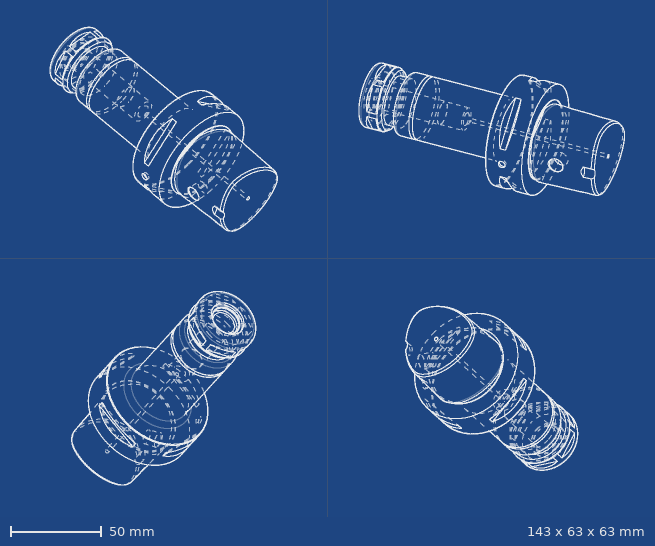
import cadquery as cq
import math

total_length = 143.0
nut_length = 13.94
body_start = 20.7
flange_start = 83.0
flange_end = 105.0
shank_start = 107.1

nut_radius = 18.3
nut_front_fillet = 2.0
nut_rear_chamfer_length = 2.1
nut_rear_chamfer_depth = 1.3
nut_mouth_diameter = 20.0
nut_mouth_depth = 1.9
nut_throat_diameter = 16.3
nut_throat_entry_diameter = 17.0
nut_throat_entry_length = 0.6
nut_lip_thickness = 4.7
flat_count = 6
flat_distance = 16.6
flat_floor_start = 5.6
flat_floor_end = 11.0
flat_front_run = 1.0
flat_rear_run = 0.3

neck_diameter = 28.0
body_diameter = 36.0
body_front_fillet = 2.1
ring_groove_start = 30.7
ring_groove_width = 2.1
ring_groove_depth = 0.07
flange_diameter = 63.0
flange_chamfer = 0.5
flange_root_fillet = 3.0

gripper_groove_count = 4
gripper_groove_centre = 93.0
gripper_groove_floor_width = 3.3
gripper_groove_floor_distance = 27.9
gripper_groove_wall_angle = 30.0
dimple_diameter = 4.0
dimple_depth = 1.5
drill_point_angle = 118.0

gauge_mean_radius = 22.0
lobe_height = 1.6
shank_taper_ratio = 20.0
outline_points = 48
shank_end_chamfer_length = 1.6
shank_end_chamfer_depth = 0.9
relief_radius = 22.0
seat_ring_radius = 22.7
seat_ring_thickness = 0.5

cross_hole_position = 120.4
cross_hole_diameter = 8.2
cross_hole_rim_diameter = 8.9
cross_hole_depth = 7.2
slot_diameter = 8.0
slot_straight_length = 6.3
slot_axis_distance = 21.6

bore_entry_diameter = 13.3
bore_entry_end = 42.9
bore_diameter = 12.9
bore_end = 57.2
bore_cone_diameter = 7.5
coolant_diameter = 2.0

drill_point_slope = math.tan(math.radians(drill_point_angle / 2))


def turned(outline):
    """Solid of revolution about the X axis from (x, radius) points."""
    return cq.Workplane("XY").polyline(outline).close().revolve(360, (0, 0, 0), (1, 0, 0))


def trapezoid_groove(floor_left, floor_right, left_run, right_run, floor_distance, outer_distance):
    """Cutter for a straight groove across +Z, widening from its flat floor to the outer surface."""
    height_ratio = outer_distance / (outer_distance - floor_distance)
    cutter_top = floor_distance + outer_distance
    return (
        cq.Workplane("XZ")
        .polyline([
            (floor_left, floor_distance),
            (floor_right, floor_distance),
            (floor_right + right_run * height_ratio, cutter_top),
            (floor_left - left_run * height_ratio, cutter_top),
        ])
        .close()
        .extrude(outer_distance, both=True)
    )


def turned_radially(outline, position):
    """Solid of revolution about a -Y axis at X = position, from (radius, distance from the part axis) points."""
    upright = cq.Workplane("XY").polyline(outline).close().revolve(360, (0, 0, 0), (0, 1, 0))
    return upright.rotate((0, 0, 0), (0, 0, 1), 180).translate((position, 0, 0))


def drilled_hole(position, surface_distance, diameter, depth):
    """Cutter for a radial blind hole on the -Y side, ending in a drill point."""
    radius = diameter / 2
    bottom = surface_distance - depth
    top = surface_distance + radius
    outline = [(0, bottom - radius / drill_point_slope), (radius, bottom), (radius, top), (0, top)]
    return turned_radially(outline, position)


def countersink(position, surface_distance, rim_diameter):
    """Cutter for a 45 degree countersink on the -Y side."""
    rim_radius = rim_diameter / 2
    apex = surface_distance - rim_radius
    top = surface_distance + rim_radius
    return turned_radially([(0, apex), (2 * rim_radius, top), (0, top)], position)


def make_nut():
    chamfer_start = nut_length - nut_rear_chamfer_length
    nut = turned([
        (0, nut_mouth_diameter / 2),
        (0, nut_radius),
        (chamfer_start, nut_radius),
        (nut_length, nut_radius - nut_rear_chamfer_depth),
        (nut_length, neck_diameter / 2),
        (nut_lip_thickness, neck_diameter / 2),
        (nut_lip_thickness, nut_throat_diameter / 2),
        (nut_mouth_depth + nut_throat_entry_length, nut_throat_diameter / 2),
        (nut_mouth_depth, nut_throat_entry_diameter / 2),
        (nut_mouth_depth, nut_mouth_diameter / 2),
    ])
    front_rim = cq.selectors.RadiusNthSelector(-1)
    nut = nut.faces("<X").edges(front_rim).fillet(nut_front_fillet)

    flat = trapezoid_groove(
        flat_floor_start, flat_floor_end, flat_front_run, flat_rear_run, flat_distance, nut_radius
    )
    for index in range(flat_count):
        nut = nut.cut(flat.rotate((0, 0, 0), (1, 0, 0), index * 360 / flat_count))
    return nut


def turned_holder():
    """Neck, body and flange of the holder, before any cuts."""
    body_radius = body_diameter / 2
    groove_radius = body_radius - ring_groove_depth
    groove_end = ring_groove_start + ring_groove_width
    flange_radius = flange_diameter / 2
    return (
        cq.Workplane("XY")
        .moveTo(nut_lip_thickness, 0)
        .lineTo(nut_lip_thickness, neck_diameter / 2)
        .lineTo(body_start, neck_diameter / 2)
        .lineTo(body_start, body_radius - body_front_fillet)
        .radiusArc((body_start + body_front_fillet, body_radius), body_front_fillet)
        .lineTo(ring_groove_start, body_radius)
        .lineTo(ring_groove_start, groove_radius)
        .lineTo(groove_end, groove_radius)
        .lineTo(groove_end, body_radius)
        .lineTo(flange_start - flange_root_fillet, body_radius)
        .radiusArc((flange_start, body_radius + flange_root_fillet), -flange_root_fillet)
        .lineTo(flange_start, flange_radius - flange_chamfer)
        .lineTo(flange_start + flange_chamfer, flange_radius)
        .lineTo(flange_end, flange_radius)
        .lineTo(flange_end, seat_ring_radius)
        .lineTo(flange_end + seat_ring_thickness, seat_ring_radius)
        .lineTo(flange_end + seat_ring_thickness, 0)
        .close()
        .revolve(360, (0, 0, 0), (1, 0, 0))
    )


def lobed_wire(position, mean_radius):
    """Three-lobed constant-width outline in the plane X = position, with one lobe at +Y."""
    points = []
    for index in range(outline_points):
        angle = math.pi + 2 * math.pi * index / outline_points
        support = mean_radius + lobe_height * math.cos(3 * angle)
        slope = -3 * lobe_height * math.sin(3 * angle)
        y = support * math.cos(angle) - slope * math.sin(angle)
        z = support * math.sin(angle) + slope * math.cos(angle)
        points.append(cq.Vector(position, y, z))
    return cq.Wire.assembleEdges([cq.Edge.makeSpline(points, periodic=True)])


def mean_radius_at(position):
    """Mean radius of the shank, which tapers from the gauge plane on the flange face."""
    return gauge_mean_radius - (position - flange_end) / shank_taper_ratio / 2


def lobed_loft(start, start_radius, end, end_radius):
    return cq.Workplane(
        cq.Solid.makeLoft([lobed_wire(start, start_radius), lobed_wire(end, end_radius)], True)
    )


def make_shank():
    large_radius = mean_radius_at(shank_start)
    chamfer_start = total_length - shank_end_chamfer_length
    chamfer_radius = mean_radius_at(chamfer_start)
    taper = lobed_loft(shank_start, large_radius, chamfer_start, chamfer_radius)
    end_radius = chamfer_radius - shank_end_chamfer_depth
    end_chamfer = lobed_loft(chamfer_start, chamfer_radius, total_length, end_radius)

    relief = lobed_loft(flange_end, large_radius, shank_start, large_radius)
    shoulder_height = large_radius + lobe_height - relief_radius
    trim = turned([
        (flange_end, 0),
        (flange_end, relief_radius),
        (shank_start - shoulder_height, relief_radius),
        (shank_start, relief_radius + shoulder_height),
        (shank_start, 0),
    ])
    return taper.union(end_chamfer).union(relief.intersect(trim))


def gripper_groove():
    half_floor = gripper_groove_floor_width / 2
    groove_depth = flange_diameter / 2 - gripper_groove_floor_distance
    wall_run = groove_depth * math.tan(math.radians(gripper_groove_wall_angle))
    return trapezoid_groove(
        gripper_groove_centre - half_floor,
        gripper_groove_centre + half_floor,
        wall_run,
        wall_run,
        gripper_groove_floor_distance,
        flange_diameter / 2,
    )


def driving_slot():
    """Cutter for the round-bottomed slot at the shank end, closed by a drill point."""
    radius = slot_diameter / 2
    slot_start = total_length - slot_straight_length
    cutter = turned([
        (slot_start - radius / drill_point_slope, 0),
        (slot_start, radius),
        (total_length, radius),
        (total_length, 0),
    ])
    return cutter.translate((0, -slot_axis_distance, 0))


def axial_bore():
    """Cutter for the stepped clamping bore, its conical bottom and the coolant hole through the shank."""
    bore_radius = bore_diameter / 2
    entry_radius = bore_entry_diameter / 2
    cone_radius = bore_cone_diameter / 2
    coolant_radius = coolant_diameter / 2
    return turned([
        (nut_lip_thickness, 0),
        (nut_lip_thickness, entry_radius),
        (bore_entry_end, entry_radius),
        (bore_entry_end, bore_radius),
        (bore_end, bore_radius),
        (bore_end, cone_radius),
        (bore_end + cone_radius - coolant_radius, coolant_radius),
        (total_length, coolant_radius),
        (total_length, 0),
    ])


def make_holder():
    holder = turned_holder().union(make_shank())

    groove = gripper_groove()
    for index in range(gripper_groove_count):
        angle = (index + 0.5) * 360 / gripper_groove_count
        holder = holder.cut(groove.rotate((0, 0, 0), (1, 0, 0), angle))

    dimple = drilled_hole(gripper_groove_centre, flange_diameter / 2, dimple_diameter, dimple_depth)
    flat_side_distance = mean_radius_at(cross_hole_position) - lobe_height
    cross_hole = drilled_hole(
        cross_hole_position, flat_side_distance, cross_hole_diameter, cross_hole_depth
    )
    cross_hole_rim = countersink(cross_hole_position, flat_side_distance, cross_hole_rim_diameter)

    for cutter in (dimple, cross_hole, cross_hole_rim, driving_slot(), axial_bore()):
        holder = holder.cut(cutter)
    return holder


nut = make_nut()
holder = make_holder()

result = cq.Compound.makeCompound([nut.val(), holder.val()])